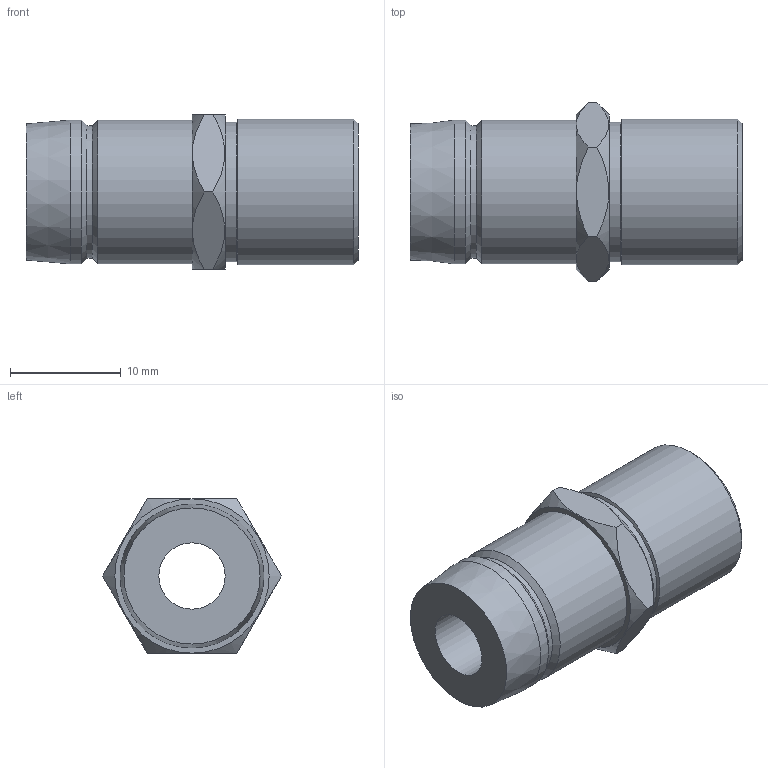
import cadquery as cq


overall_length = 30.0
nose_length = 4.0
groove_start = 5.0
groove_end = 6.5
hex_start = 15.0
hex_width = 3.0
hex_end = hex_start + hex_width
neck_length = 1.05
neck_end = hex_end + neck_length
shoulder_length = 0.1
collar_start = neck_end + shoulder_length

bore_radius = 3.0
nose_tip_radius = 6.15
barrel_radius = 6.5
groove_depth = 0.5
neck_radius = 6.3
collar_diameter = 13.157
collar_radius = collar_diameter / 2

collar_end_chamfer = 0.4

hex_across_flats = 14.0
flat_on_top_angle = 30
hex_bevel_face_radius = 6.97


def revolve_about_x(profile):
    return profile.close().revolve(360, (0, 0, 0), (1, 0, 0))


def make_barrel():
    """Inlet end: tapered nose, cylinder and a groove with 45 degree walls."""
    groove_radius = barrel_radius - groove_depth
    profile = (
        cq.Workplane("XZ")
        .lineTo(0, nose_tip_radius)
        .lineTo(nose_length, barrel_radius)
        .lineTo(groove_start, barrel_radius)
        .lineTo(groove_start + groove_depth, groove_radius)
        .lineTo(groove_end - groove_depth, groove_radius)
        .lineTo(groove_end, barrel_radius)
        .lineTo(hex_start, barrel_radius)
        .lineTo(hex_start, 0)
    )
    return revolve_about_x(profile)


def make_hexagon():
    """Wrench hexagon with a 45 degree bevel turned on both faces."""
    prism = (
        cq.Workplane("YZ", origin=(hex_start, 0, 0))
        .polygon(6, hex_across_flats, circumscribed=True)
        .extrude(hex_width)
        .rotate((0, 0, 0), (1, 0, 0), flat_on_top_angle)
    )
    half_width = hex_width / 2
    profile = (
        cq.Workplane("XZ")
        .moveTo(hex_start, 0)
        .lineTo(hex_start, hex_bevel_face_radius)
        .lineTo(hex_start + half_width, hex_bevel_face_radius + half_width)
        .lineTo(hex_end, hex_bevel_face_radius)
        .lineTo(hex_end, 0)
    )
    return prism.intersect(revolve_about_x(profile))


def make_collar():
    """Outlet end: short neck and a larger cylinder, joined by a steep shoulder, with a chamfered end."""
    profile = (
        cq.Workplane("XZ")
        .moveTo(hex_end, 0)
        .lineTo(hex_end, neck_radius)
        .lineTo(neck_end, neck_radius)
        .lineTo(collar_start, collar_radius)
        .lineTo(overall_length - collar_end_chamfer, collar_radius)
        .lineTo(overall_length, collar_radius - collar_end_chamfer)
        .lineTo(overall_length, 0)
    )
    return revolve_about_x(profile)


def make_bore():
    return cq.Workplane("YZ").circle(bore_radius).extrude(overall_length)


result = make_barrel().union(make_hexagon()).union(make_collar()).cut(make_bore())